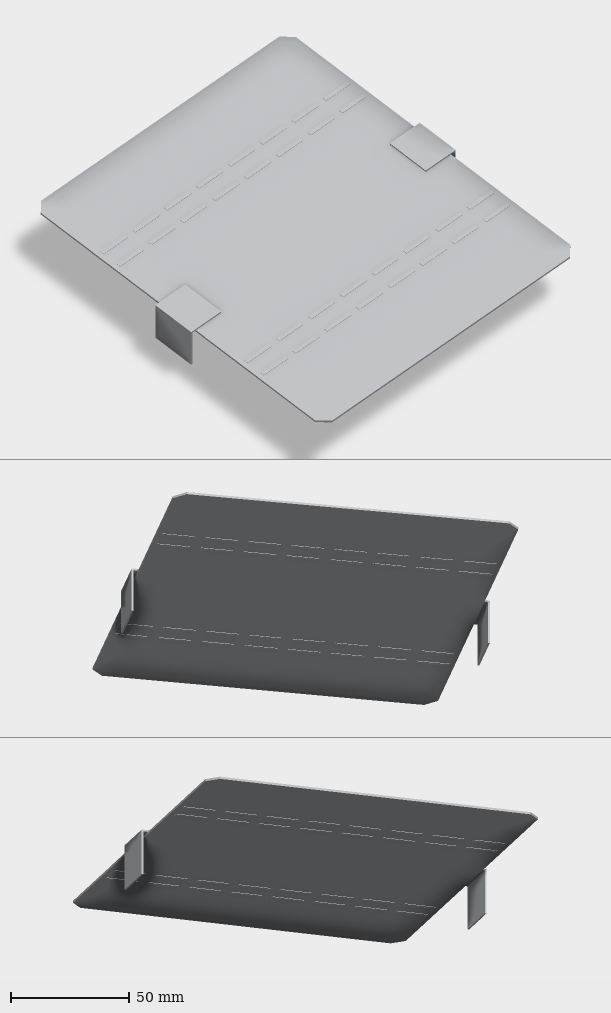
import cadquery as cq

plate_length = 178.0
plate_width = 149.0
plate_thickness = 1.0
corner_chamfer = 5.0

rib_width = 2.0
rib_length = 14.0
rib_protrusion = 0.2
ribs_per_row = 8
rib_end_margin = 2.5
rib_pair_center = 44.0
rib_pair_spacing = 10.0

clip_width = 22.0
clip_thickness = 0.75
clip_height = 19.88
clip_flange_length = 17.5
clip_span = 154.5

rib_pitch = (plate_width - 2 * rib_end_margin - rib_length) / (ribs_per_row - 1)
row_offsets = [
    side * (rib_pair_center + step * rib_pair_spacing / 2)
    for side in (-1, 1)
    for step in (-1, 1)
]
rib_centers = [
    (x, (index - (ribs_per_row - 1) / 2) * rib_pitch)
    for x in row_offsets
    for index in range(ribs_per_row)
]


def make_ribs():
    """All rib bars, reaching from above the plate's top to below its underside."""
    return (
        cq.Workplane("XY", origin=(0, 0, rib_protrusion))
        .pushPoints(rib_centers)
        .rect(rib_width, rib_length)
        .extrude(-(plate_thickness + 2 * rib_protrusion))
    )


def make_plate():
    """Flat plate with chamfered corners and rows of ribs; its flat top is at Z = 0."""
    blank = (
        cq.Workplane("XY")
        .rect(plate_length, plate_width)
        .extrude(-plate_thickness)
        .edges("|Z")
        .chamfer(corner_chamfer)
    )
    return blank.union(make_ribs())


def make_clip(side):
    """L-shaped clip at the +Y (side = 1) or -Y (side = -1) edge of the plate."""
    outer_y = side * clip_span / 2
    leg_inner_y = outer_y - side * clip_thickness
    flange_end_y = outer_y - side * clip_flange_length
    leg_bottom_z = clip_thickness - clip_height
    profile = [
        (flange_end_y, 0),
        (flange_end_y, clip_thickness),
        (outer_y, clip_thickness),
        (outer_y, leg_bottom_z),
        (leg_inner_y, leg_bottom_z),
        (leg_inner_y, 0),
    ]
    return cq.Workplane("YZ").polyline(profile).close().extrude(clip_width / 2, both=True)


plate = make_plate()
clips = [make_clip(side) for side in (-1, 1)]

result = cq.Compound.makeCompound([plate.val(), *[clip.val() for clip in clips]])